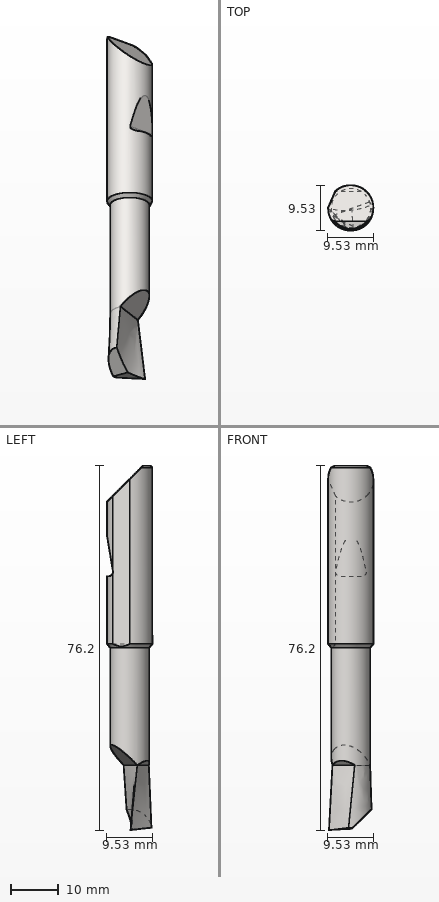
import cadquery as cq
import math


total_length = 76.2
shank_diameter = 9.525
neck_diameter = 8.2
shank_start = total_length / 2
head_length = 13.6
shank_radius = shank_diameter / 2
neck_radius = neck_diameter / 2
overcut = 5 * shank_diameter

shoulder_length = 0.85
top_chamfer = 0.4
end_land_y = -2.8
side_flat_y_start = 0.0
side_flat_y_end = 3.5
notch_depth = 1.25
notch_bottom_z = 53.1
notch_ramp_length = 8.4
notch_corner_radius = 0.9

neck_corner = (-3.85, -1.58)
neck_rake_x = 0.83
neck_back_y = 1.3

tip_radius = 4.62
tip_corner = (-4.57, -0.15)
tip_rake_x = -0.5
tip_back_y = 0.4
tip_back_hollow = (1.5, -0.3)

end_relief_slope = 0.065
end_rise_slope = 0.05
tip_chamfer_start_x = 0.15
tip_chamfer_angle = 44.2


def on_circle_below(radius, x):
    """Point of a centred circle on its -Y half."""
    return (x, -math.sqrt(radius**2 - x**2))


def on_circle_right(radius, y):
    """Point of a centred circle on its +X half."""
    return (math.sqrt(radius**2 - y**2), y)


def on_circle_left(radius, y):
    """Point of a centred circle on its -X half."""
    return (-math.sqrt(radius**2 - y**2), y)


def arc_middle(radius, start, end):
    """Point halfway along the arc between two points of a centred circle."""
    start_angle = math.atan2(start[1], start[0])
    end_angle = math.atan2(end[1], end[0])
    angle = (start_angle + end_angle) / 2
    return (radius * math.cos(angle), radius * math.sin(angle))


neck_rake_end = on_circle_below(neck_radius, neck_rake_x)
neck_back_end = on_circle_right(neck_radius, neck_back_y)
tip_rake_end = on_circle_below(tip_radius, tip_rake_x)
tip_back_end = on_circle_right(tip_radius, tip_back_y)


def plane_across_chord(start, end):
    """Plane square to a chord: x points out to the left of start-to-end, y points up."""
    chord = cq.Vector(end[0] - start[0], end[1] - start[1], 0)
    outward = cq.Vector(-chord.y, chord.x, 0)
    return cq.Plane(
        origin=(start[0], start[1], head_length),
        xDir=outward.toTuple(),
        normal=chord.toTuple(),
    )


def make_shank():
    length = total_length - shank_start
    shank = cq.Workplane("XY").workplane(offset=shank_start).circle(shank_radius).extrude(length)
    shank = shank.faces(">Z").chamfer(top_chamfer)
    return shank.faces("<Z").chamfer(shoulder_length, shank_radius - neck_radius)


def make_end_slope():
    """45 degree slope from the end land down towards +Y."""
    return (
        cq.Workplane("YZ")
        .moveTo(end_land_y, total_length)
        .lineTo(end_land_y + overcut, total_length - overcut)
        .lineTo(end_land_y + overcut, total_length)
        .close()
        .extrude(shank_diameter, both=True)
    )


def make_side_flat():
    """Flat along the whole shank on its -X, +Y side."""
    start = on_circle_left(shank_radius, side_flat_y_start)
    end = on_circle_left(shank_radius, side_flat_y_end)
    return (
        cq.Workplane("XY")
        .workplane(offset=shank_start)
        .moveTo(*start)
        .lineTo(*end)
        .lineTo(-shank_diameter, side_flat_y_end)
        .lineTo(-shank_diameter, side_flat_y_start)
        .close()
        .extrude(total_length - shank_start)
    )


def make_notch():
    """Ramped notch across the +Y side, deepest at its lower, rounded end."""
    floor_y = shank_radius - notch_depth
    corner_z = notch_bottom_z + notch_corner_radius
    return (
        cq.Workplane("YZ")
        .moveTo(shank_radius, notch_bottom_z)
        .lineTo(floor_y + notch_corner_radius, notch_bottom_z)
        .radiusArc((floor_y, corner_z), notch_corner_radius)
        .lineTo(shank_radius, notch_bottom_z + notch_ramp_length)
        .close()
        .extrude(shank_diameter, both=True)
    )


def make_neck():
    return (
        cq.Workplane("XY")
        .workplane(offset=head_length)
        .circle(neck_radius)
        .extrude(shank_start - head_length)
    )


def make_runout(start, end):
    """45 degree run-out from a head face up to the neck surface."""
    return (
        cq.Workplane(plane_across_chord(start, end))
        .polyline([(0, 0), (neck_diameter, 0), (neck_diameter, neck_diameter)])
        .close()
        .extrude(shank_diameter, both=True)
    )


def start_head_section(work, radius, corner, rake_end, back_end):
    """Rake edge and round side of a head section, open along its back edge."""
    return (
        work.moveTo(*corner)
        .lineTo(*rake_end)
        .threePointArc(arc_middle(radius, rake_end, back_end), back_end)
    )


def make_head():
    """Head lofted from the hollow-backed tip section to the straight-backed neck section."""
    tip = start_head_section(cq.Workplane("XY"), tip_radius, tip_corner, tip_rake_end, tip_back_end)
    tip = tip.threePointArc(tip_back_hollow, tip_corner).close()
    both = tip.workplane(offset=head_length)
    both = start_head_section(both, neck_radius, neck_corner, neck_rake_end, neck_back_end).close()
    return both.loft(ruled=True)


def make_below_plane(point, normal):
    """Block filling the space below a tilted plane."""
    plane = cq.Plane(origin=point, normal=normal)
    return cq.Workplane(plane).rect(overcut, overcut).extrude(-overcut)


def make_end_relief():
    """End face, rising from the cutting corner towards +X and -Y."""
    corner = (tip_corner[0], tip_corner[1], 0)
    return make_below_plane(corner, (-end_rise_slope, end_relief_slope, 1))


def make_tip_chamfer():
    """Chamfer across the +X side of the tip."""
    start_z = end_rise_slope * (tip_chamfer_start_x - tip_corner[0])
    start = (tip_chamfer_start_x, 0, start_z)
    return make_below_plane(start, (-math.tan(math.radians(tip_chamfer_angle)), 0, 1))


shank = make_shank().cut(make_end_slope()).cut(make_side_flat()).cut(make_notch())

neck = make_neck()
neck = neck.cut(make_runout(neck_rake_end, neck_corner))
neck = neck.cut(make_runout(neck_corner, neck_back_end))

head = make_head().cut(make_end_relief()).cut(make_tip_chamfer())

result = shank.union(neck).union(head)